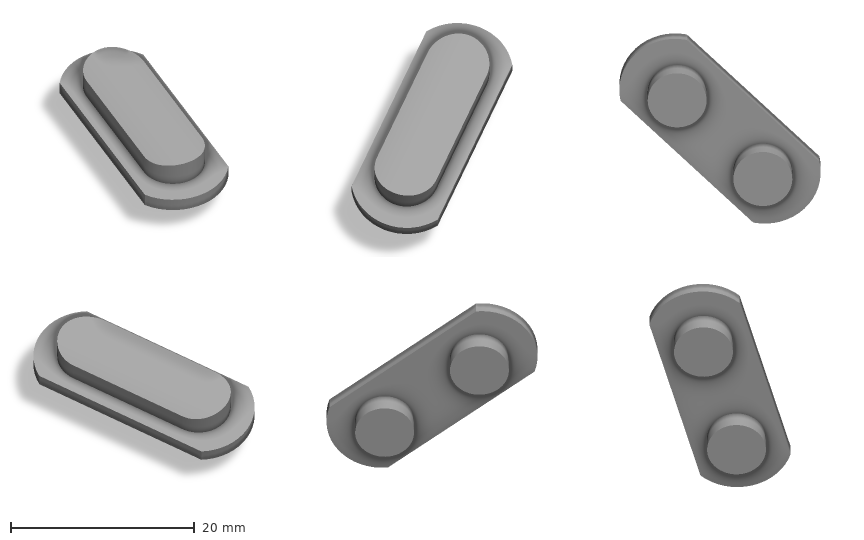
import cadquery as cq

flange_length = 25.95
flange_width = 10.2
flange_thickness = 1.5
flange_flat_length = 20.4

pad_length = 20.75
pad_width = 7.0
pad_height = 2.78
crown_rise = 0.47

peg_diameter = 6.4
peg_height = 2.3
peg_spacing = 13.18


def make_flange():
    half_flat = flange_flat_length / 2
    half_length = flange_length / 2
    half_width = flange_width / 2
    return (
        cq.Workplane("XY")
        .moveTo(-half_flat, -half_width)
        .lineTo(half_flat, -half_width)
        .threePointArc((half_length, 0), (half_flat, half_width))
        .lineTo(-half_flat, half_width)
        .threePointArc((-half_length, 0), (-half_flat, -half_width))
        .close()
        .extrude(flange_thickness)
    )


def make_pad():
    """Stadium-shaped pad whose top is an arc across Y, swept along X."""
    top_z = flange_thickness + pad_height
    edge_z = top_z - crown_rise
    half_width = pad_width / 2
    stadium = cq.Workplane("XY").slot2D(pad_length, pad_width).extrude(top_z)
    crown_envelope = (
        cq.Workplane("YZ")
        .moveTo(-half_width, 0)
        .lineTo(half_width, 0)
        .lineTo(half_width, edge_z)
        .threePointArc((0, top_z), (-half_width, edge_z))
        .close()
        .extrude(pad_length / 2, both=True)
    )
    return stadium.intersect(crown_envelope)


def make_pegs():
    return (
        cq.Workplane("XY")
        .pushPoints([(-peg_spacing / 2, 0), (peg_spacing / 2, 0)])
        .circle(peg_diameter / 2)
        .extrude(-peg_height)
    )


result = make_flange().union(make_pad()).union(make_pegs())